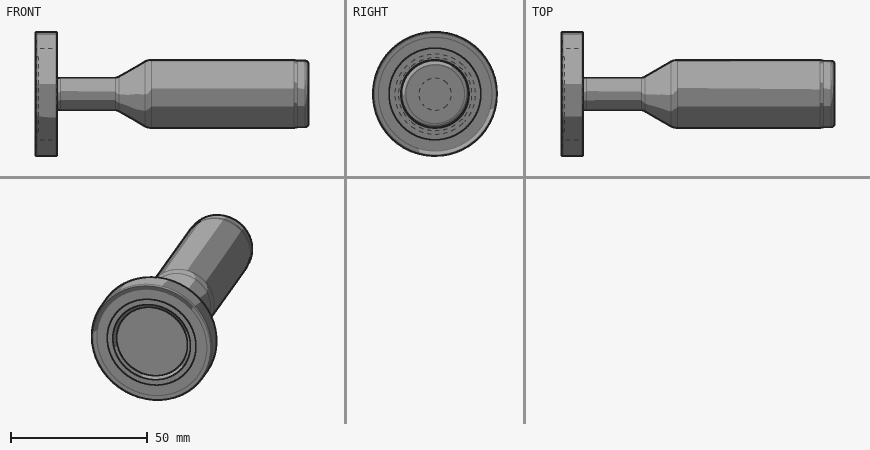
import cadquery as cq
import math

LENGTH = 100.0

RIM_RADIUS = 22.75
RIM_WIDTH = 8.0
LIP_RADIUS = 44.5 / 2
LIP_ROUND = RIM_RADIUS - LIP_RADIUS
DISH_FLOOR_RADIUS = 20.8
DISH_DEPTH = 0.3
BORE_RADIUS = 16.8

RECESS_MOUTH_RADIUS = 14.7
RECESS_FLOOR_RADIUS = 13.4
RECESS_DEPTH = 0.7

NECK_RADIUS = 12.0 / 2
NECK_ROOT_RADIUS = 5.9
NECK_ROOT_END = 9.2

GRIP_RADIUS = 25.0 / 2
GRIP_START = 42.5
CONE_ANGLE = math.radians(30)
NECK_BLEND = 2.5
SHOULDER_BLEND = 5.0
END_RADIUS = 24.5 / 2
END_LENGTH = 4.2
END_TAPER_LENGTH = 1.2
END_ROUND = 1.5

HUB_FRONT = DISH_DEPTH
HUB_BACK = RIM_WIDTH - DISH_DEPTH


def revolve_about_x(profile):
    """Turn a closed profile (x, radius) about the X axis."""
    return profile.close().revolve(360, (0, 0, 0), (1, 0, 0))


def arc_point(center, radius, angle):
    """Point on a circle at an angle in radians."""
    return center[0] + radius * math.cos(angle), center[1] + radius * math.sin(angle)


def make_rim():
    """Ring with rounded outer edges and dished faces."""
    profile = (
        cq.Workplane("XY")
        .moveTo(HUB_FRONT, BORE_RADIUS)
        .lineTo(HUB_FRONT, DISH_FLOOR_RADIUS)
        .lineTo(0, LIP_RADIUS)
        .radiusArc((LIP_ROUND, RIM_RADIUS), LIP_ROUND)
        .lineTo(RIM_WIDTH - LIP_ROUND, RIM_RADIUS)
        .radiusArc((RIM_WIDTH, LIP_RADIUS), LIP_ROUND)
        .lineTo(HUB_BACK, DISH_FLOOR_RADIUS)
        .lineTo(HUB_BACK, BORE_RADIUS)
    )
    return revolve_about_x(profile)


def make_handle():
    """Hub, neck and grip in one piece."""
    shoulder_center = (GRIP_START, GRIP_RADIUS - SHOULDER_BLEND)
    cone_end = arc_point(shoulder_center, SHOULDER_BLEND, math.pi / 2 + CONE_ANGLE)
    shoulder_middle = arc_point(shoulder_center, SHOULDER_BLEND, (math.pi + CONE_ANGLE) / 2)

    cone_start_radius = NECK_RADIUS + NECK_BLEND * (1 - math.cos(CONE_ANGLE))
    cone_start_x = cone_end[0] - (cone_end[1] - cone_start_radius) / math.tan(CONE_ANGLE)
    neck_end = cone_start_x - NECK_BLEND * math.sin(CONE_ANGLE)
    neck_center = (neck_end, NECK_RADIUS + NECK_BLEND)
    neck_middle = arc_point(neck_center, NECK_BLEND, (CONE_ANGLE - math.pi) / 2)

    end_start = LENGTH - END_LENGTH
    profile = (
        cq.Workplane("XY")
        .moveTo(HUB_FRONT + RECESS_DEPTH, 0)
        .lineTo(HUB_FRONT + RECESS_DEPTH, RECESS_FLOOR_RADIUS)
        .lineTo(HUB_FRONT, RECESS_MOUTH_RADIUS)
        .lineTo(HUB_FRONT, BORE_RADIUS)
        .lineTo(HUB_BACK, BORE_RADIUS)
        .lineTo(HUB_BACK, NECK_ROOT_RADIUS)
        .lineTo(NECK_ROOT_END, NECK_RADIUS)
        .lineTo(neck_end, NECK_RADIUS)
        .threePointArc(neck_middle, (cone_start_x, cone_start_radius))
        .lineTo(*cone_end)
        .threePointArc(shoulder_middle, (GRIP_START, GRIP_RADIUS))
        .lineTo(end_start - END_TAPER_LENGTH, GRIP_RADIUS)
        .lineTo(end_start, END_RADIUS)
        .lineTo(LENGTH - END_ROUND, END_RADIUS)
        .radiusArc((LENGTH, END_RADIUS - END_ROUND), END_ROUND)
        .lineTo(LENGTH, 0)
    )
    return revolve_about_x(profile)


rim = make_rim()
handle = make_handle()

result = cq.Compound.makeCompound([rim.val(), handle.val()])